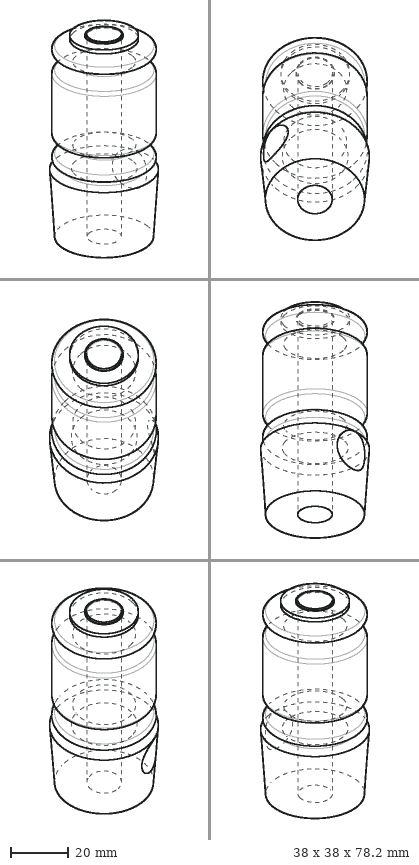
import cadquery as cq
import math

BASE_TOP_RADIUS = 19.0
BASE_BOTTOM_RADIUS = 17.3
BASE_RIM_Z = 26.0
BASE_SHOULDER_RADIUS = 28.38 / 2
BASE_SHOULDER_Z = 26.5

BODY_RADIUS = 36.5 / 2
NECK_RADIUS = 11.0
FLANK_ANGLE = math.radians(25)
CREST_FILLET = 1.6
NECK_FILLET = 0.45
BARREL_MIDDLE_Z = 51.5
BARREL_HALF_LENGTH = 11.45

TOTAL_HEIGHT = 78.17
TOP_DISC_RADIUS = 24 / 2
LIP_RADIUS = 6.5
LIP_HEIGHT = 0.4
RELIEF_RADIUS = 6.7
RELIEF_DEPTH = 0.3
BORE_RADIUS = 12 / 2

SCOOP_RADIUS = 20.0
SCOOP_MIDDLE_Z = 17.4
SCOOP_FLOOR_Y = 17.1

CREST_TANGENT_RADIUS = BODY_RADIUS - CREST_FILLET * (1 - math.sin(FLANK_ANGLE))
CREST_TANGENT_RISE = CREST_FILLET * math.cos(FLANK_ANGLE)
NECK_TANGENT_RADIUS = NECK_RADIUS + NECK_FILLET * (1 - math.sin(FLANK_ANGLE))
NECK_TANGENT_RISE = NECK_FILLET * math.cos(FLANK_ANGLE)
FLANK_RISE = (CREST_TANGENT_RADIUS - NECK_TANGENT_RADIUS) * math.tan(FLANK_ANGLE)

NECK_TO_CREST = NECK_TANGENT_RISE + FLANK_RISE + CREST_TANGENT_RISE

LOWER_CREST_Z = BARREL_MIDDLE_Z - BARREL_HALF_LENGTH
UPPER_CREST_Z = BARREL_MIDDLE_Z + BARREL_HALF_LENGTH
LOWER_NECK_Z = LOWER_CREST_Z - NECK_TO_CREST
UPPER_NECK_Z = UPPER_CREST_Z + NECK_TO_CREST
LOWER_RIB_Z = LOWER_NECK_Z - NECK_TO_CREST
UPPER_RIB_Z = UPPER_NECK_Z + NECK_TO_CREST

LOWEST_FLANK_RISE = LOWER_RIB_Z - CREST_TANGENT_RISE - BASE_SHOULDER_Z
BASE_NECK_RADIUS = CREST_TANGENT_RADIUS - LOWEST_FLANK_RISE / math.tan(FLANK_ANGLE)
TOP_FLANK_END_Z = (
    UPPER_RIB_Z + CREST_TANGENT_RISE + (CREST_TANGENT_RADIUS - TOP_DISC_RADIUS) * math.tan(FLANK_ANGLE)
)

LIP_ROUNDING = (LIP_RADIUS - BORE_RADIUS) / 2
TOP_DISC_Z = TOTAL_HEIGHT - LIP_HEIGHT

HALF_CREST_TURN = (math.pi / 2 - FLANK_ANGLE) / 2
CREST_MIDDLE_RADIUS = BODY_RADIUS - CREST_FILLET * (1 - math.cos(HALF_CREST_TURN))
CREST_MIDDLE_RISE = CREST_FILLET * math.sin(HALF_CREST_TURN)


def add_rib(profile, middle_z):
    """Continue the upward profile up to and around a full rib crest."""
    return profile.lineTo(CREST_TANGENT_RADIUS, middle_z - CREST_TANGENT_RISE).threePointArc(
        (BODY_RADIUS, middle_z), (CREST_TANGENT_RADIUS, middle_z + CREST_TANGENT_RISE)
    )


def add_neck(profile, middle_z):
    """Continue the upward profile down a flank and around a groove bottom."""
    return profile.lineTo(NECK_TANGENT_RADIUS, middle_z - NECK_TANGENT_RISE).threePointArc(
        (NECK_RADIUS, middle_z), (NECK_TANGENT_RADIUS, middle_z + NECK_TANGENT_RISE)
    )


def add_barrel(profile):
    """Continue the upward profile over the long barrel with its two rounded shoulders."""
    return (
        profile.lineTo(CREST_TANGENT_RADIUS, LOWER_CREST_Z - CREST_TANGENT_RISE)
        .threePointArc((CREST_MIDDLE_RADIUS, LOWER_CREST_Z - CREST_MIDDLE_RISE), (BODY_RADIUS, LOWER_CREST_Z))
        .lineTo(BODY_RADIUS, UPPER_CREST_Z)
        .threePointArc(
            (CREST_MIDDLE_RADIUS, UPPER_CREST_Z + CREST_MIDDLE_RISE),
            (CREST_TANGENT_RADIUS, UPPER_CREST_Z + CREST_TANGENT_RISE),
        )
    )


def make_turned_body():
    """Revolve the half profile, bore included, about Z."""
    profile = (
        cq.Workplane("XZ")
        .moveTo(BORE_RADIUS, 0)
        .lineTo(BASE_BOTTOM_RADIUS, 0)
        .lineTo(BASE_TOP_RADIUS, BASE_RIM_Z)
        .lineTo(BASE_SHOULDER_RADIUS, BASE_SHOULDER_Z)
        .lineTo(BASE_NECK_RADIUS, BASE_SHOULDER_Z)
    )
    profile = add_rib(profile, LOWER_RIB_Z)
    profile = add_neck(profile, LOWER_NECK_Z)
    profile = add_barrel(profile)
    profile = add_neck(profile, UPPER_NECK_Z)
    profile = add_rib(profile, UPPER_RIB_Z)
    profile = (
        profile.lineTo(TOP_DISC_RADIUS, TOP_FLANK_END_Z)
        .lineTo(TOP_DISC_RADIUS, TOP_DISC_Z)
        .lineTo(RELIEF_RADIUS, TOP_DISC_Z)
        .lineTo(RELIEF_RADIUS, TOP_DISC_Z - RELIEF_DEPTH)
        .lineTo(LIP_RADIUS, TOP_DISC_Z - RELIEF_DEPTH)
        .lineTo(LIP_RADIUS, TOTAL_HEIGHT - LIP_ROUNDING)
        .threePointArc((LIP_RADIUS - LIP_ROUNDING, TOTAL_HEIGHT), (BORE_RADIUS, TOTAL_HEIGHT - LIP_ROUNDING))
        .close()
    )
    return profile.revolve(360, (0, 0, 0), (0, 1, 0))


def make_scoop():
    """Cylinder along X that hollows the +Y side of the base."""
    return (
        cq.Workplane("YZ")
        .center(SCOOP_FLOOR_Y + SCOOP_RADIUS, SCOOP_MIDDLE_Z)
        .circle(SCOOP_RADIUS)
        .extrude(BASE_TOP_RADIUS, both=True)
    )


result = make_turned_body().cut(make_scoop())